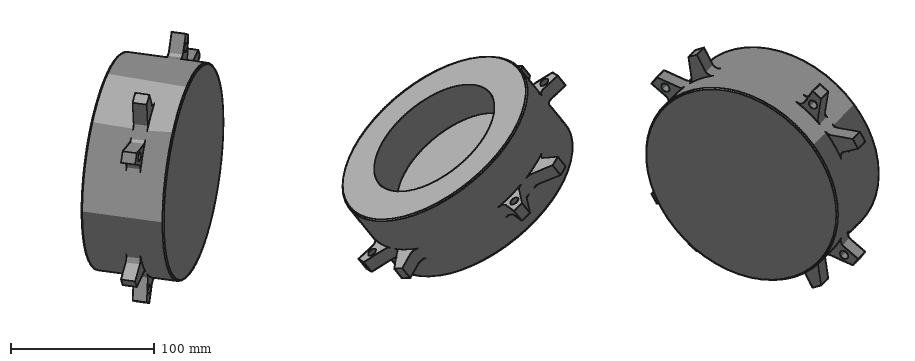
import cadquery as cq

drum_length = 60.0
drum_radius = 77.0
rim_chamfer = 1.0
bore_radius = 50.0
bore_depth = 30.0

lug_start = 30.6
lug_width = 10.3
lug_root_fillet = 5.0
lug_hole_radius = 3.3
lug_hole_center = (46.7, 71.5)
lug_inner_tip = (46.4, 82.8)
lug_outer_tip = (53.1, 78.5)
lug_inner_root = (33.5, 60.5)
lug_outer_root = (49.5, 53.5)
quarter_turns = (0, 90, 180, 270)

root_edge_limit = 72.9


def around_axis(body, angle):
    return body.rotate((0, 0, 0), (1, 0, 0), angle)


def make_lug():
    return (
        cq.Workplane("YZ", origin=(lug_start, 0, 0))
        .polyline([lug_inner_tip, lug_outer_tip, lug_outer_root, lug_inner_root])
        .close()
        .extrude(lug_width)
    )


def make_hole_cutter():
    return (
        cq.Workplane("YZ", origin=(lug_start, 0, 0))
        .center(*lug_hole_center)
        .circle(lug_hole_radius)
        .extrude(lug_width)
    )


body = cq.Workplane("YZ").circle(drum_radius).extrude(drum_length)
lug = make_lug()
mirrored_lug = lug.mirror("XZ")
for angle in quarter_turns:
    body = body.union(around_axis(lug, angle))
    body = body.union(around_axis(mirrored_lug, angle))

root_edges = cq.selectors.BoxSelector(
    (lug_start, -root_edge_limit, -root_edge_limit),
    (lug_start + lug_width, root_edge_limit, root_edge_limit),
)
body = body.edges("|X").edges(root_edges).fillet(lug_root_fillet)

body = body.faces("<X or >X").edges().chamfer(rim_chamfer)
bore = cq.Workplane("YZ").circle(bore_radius).extrude(bore_depth)
body = body.cut(bore)

hole_cutter = make_hole_cutter()
for angle in quarter_turns:
    body = body.cut(around_axis(hole_cutter, angle))

result = body